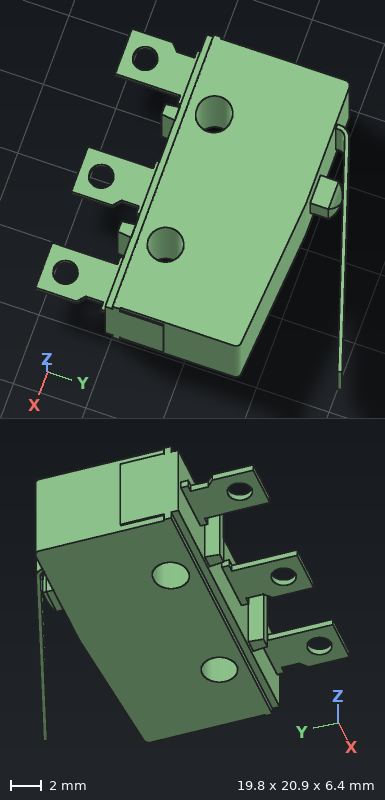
import cadquery as cq
import math


overall_length = 20.9

housing_height = 10.01
housing_thickness = 6.4
base_length = 19.8
base_height = 4.0
base_thickness = 5.4
side_step = 0.1
cover_length = base_length - 2 * side_step
flange_start = 0.5
flange_end = 1.0
slope_start_x = -0.95
slope_end_height = 9.2
corner_radius = 0.38

mount_hole_diameter = 2.36
mount_slot_length = 2.5
mount_hole_x = 4.75
mount_hole_y = 2.35

terminal_thickness = 0.5
terminal_length = 5.0
terminal_width = 3.28
collar_width = 3.85
collar_length = 0.5
neck_inset = 0.52
neck_end = 1.7
shoulder_end = 2.15
terminal_hole_diameter = 1.6
terminal_hole_y = -3.5
terminal_places = [(-9.43, -1), (2.42, 1), (9.4, 1)]

rib_x = 4.26
rib_root_width = 0.96
rib_tip_width = 0.75
rib_height = 1.0
rib_depth = 4.55

plunger_x = -2.78
plunger_width = 2.03
plunger_shoulder_y = 11.27
plunger_top_y = 11.8

lever_sheet = 0.3
lever_angle = math.radians(17.8)
lever_bend_radius = 0.88
lever_bend_x = -6.2
lever_tip_y = overall_length - terminal_length
lever_arm_length = 15.95
lever_root_width = 4.3
lever_tip_width = 3.6


def centred_box(length, y_start, y_end, thickness):
    """Box centred on X = 0 and Z = 0 between two Y positions."""
    middle_y = (y_start + y_end) / 2
    return cq.Workplane("XY").box(length, y_end - y_start, thickness).translate((0, middle_y, 0))


def extrude_centred(sketch, thickness):
    """Extrude an XY outline equally to both sides of Z = 0."""
    return sketch.extrude(thickness / 2, both=True)


def make_cover():
    """Full-thickness upper part with a sloping top and two rounded corners."""
    half = cover_length / 2
    outline = (
        cq.Workplane("XY")
        .moveTo(-half, flange_start)
        .lineTo(half, flange_start)
        .lineTo(half, slope_end_height)
        .lineTo(slope_start_x, housing_height)
        .lineTo(-half, housing_height)
        .close()
    )
    cover = extrude_centred(outline, housing_thickness)
    for top_corner in ((-half, housing_height, 0), (half, slope_end_height, 0)):
        corner_edge = cq.selectors.NearestToPointSelector(top_corner)
        cover = cover.edges("|Z").edges(corner_edge).fillet(corner_radius)
    return cover


def make_terminal(notched_edge, facing):
    """Flat solder tab with a collar at the root, a notched neck and a round eye."""
    inner_edge = notched_edge - facing * terminal_width
    collar_edge = notched_edge - facing * collar_width
    neck_edge = notched_edge - facing * neck_inset
    outline = cq.Workplane("XY").polyline([
        (notched_edge, 0),
        (notched_edge, -collar_length),
        (neck_edge, -collar_length),
        (neck_edge, -neck_end),
        (notched_edge, -shoulder_end),
        (notched_edge, -terminal_length),
        (inner_edge, -terminal_length),
        (inner_edge, -collar_length),
        (collar_edge, -collar_length),
        (collar_edge, 0),
    ]).close()
    eye_x = (notched_edge + inner_edge) / 2
    eye = cq.Workplane("XY").center(eye_x, terminal_hole_y).circle(terminal_hole_diameter / 2)
    return extrude_centred(outline, terminal_thickness).cut(extrude_centred(eye, housing_thickness))


def make_rib(x):
    """Barrier rib that narrows towards its tip."""
    outline = cq.Workplane("XY").polyline([
        (x - rib_root_width / 2, 0),
        (x + rib_root_width / 2, 0),
        (x + rib_tip_width / 2, -rib_height),
        (x - rib_tip_width / 2, -rib_height),
    ]).close()
    return extrude_centred(outline, rib_depth)


def make_housing():
    """Cover, base, flange, ribs and terminals as one solid, with two mounting holes."""
    housing = make_cover()
    housing = housing.union(centred_box(base_length, 0, base_height, base_thickness))
    housing = housing.union(centred_box(base_length, flange_start, flange_end, housing_thickness))
    for x in (-rib_x, rib_x):
        housing = housing.union(make_rib(x))
    for notched_edge, facing in terminal_places:
        housing = housing.union(make_terminal(notched_edge, facing))
    slot = (
        cq.Workplane("XY")
        .center(-mount_hole_x, mount_hole_y)
        .slot2D(mount_slot_length, mount_hole_diameter)
    )
    hole = cq.Workplane("XY").center(mount_hole_x, mount_hole_y).circle(mount_hole_diameter / 2)
    for opening in (slot, hole):
        housing = housing.cut(extrude_centred(opening, housing_thickness))
    return housing


def make_arched_post():
    """Square post whose top is arched along X only."""
    half = plunger_width / 2
    outline = (
        cq.Workplane("XY")
        .moveTo(-half, housing_height)
        .lineTo(half, housing_height)
        .lineTo(half, plunger_shoulder_y)
        .threePointArc((0, plunger_top_y), (-half, plunger_shoulder_y))
        .close()
    )
    return extrude_centred(outline, plunger_width)


def make_plunger():
    """Square post whose top is arched along both X and Z."""
    arched_along_x = make_arched_post()
    arched_along_z = arched_along_x.rotate((0, 0, 0), (0, 1, 0), 90)
    return arched_along_x.intersect(arched_along_z).translate((plunger_x, 0, 0))


def make_lever():
    """Bent sheet lever standing on the housing, tapering in width towards its tip."""
    along = cq.Vector(math.cos(lever_angle), math.sin(lever_angle))
    normal = cq.Vector(-math.sin(lever_angle), math.cos(lever_angle))
    inner_radius = lever_bend_radius - lever_sheet
    bend_y = lever_tip_y - (along * lever_arm_length + normal * lever_bend_radius).y
    bend_centre = cq.Vector(lever_bend_x, bend_y)
    mid_bend_angle = (math.pi + math.pi / 2 + lever_angle) / 2
    mid_bend = cq.Vector(math.cos(mid_bend_angle), math.sin(mid_bend_angle))
    tip = bend_centre + along * lever_arm_length
    bend_start = cq.Vector(-1, 0)

    def corner(point):
        return (point.x, point.y)

    outline = (
        cq.Workplane("XY")
        .moveTo(lever_bend_x - lever_bend_radius, housing_height)
        .lineTo(*corner(bend_centre + bend_start * lever_bend_radius))
        .threePointArc(
            corner(bend_centre + mid_bend * lever_bend_radius),
            corner(bend_centre + normal * lever_bend_radius),
        )
        .lineTo(*corner(tip + normal * lever_bend_radius))
        .lineTo(*corner(tip + normal * inner_radius))
        .lineTo(*corner(bend_centre + normal * inner_radius))
        .threePointArc(
            corner(bend_centre + mid_bend * inner_radius),
            corner(bend_centre + bend_start * inner_radius),
        )
        .lineTo(lever_bend_x - inner_radius, housing_height)
        .close()
    )
    sheet = extrude_centred(outline, lever_root_width)

    arm_plane = cq.Plane(origin=bend_centre.toTuple(), xDir=along.toTuple(), normal=normal.toTuple())
    blank_reach = 2 * lever_bend_radius
    blank = (
        cq.Workplane(arm_plane)
        .polyline([
            (-blank_reach, -lever_root_width / 2),
            (0, -lever_root_width / 2),
            (lever_arm_length, -lever_tip_width / 2),
            (lever_arm_length, lever_tip_width / 2),
            (0, lever_root_width / 2),
            (-blank_reach, lever_root_width / 2),
        ])
        .close()
        .extrude(blank_reach, both=True)
    )
    return sheet.intersect(blank)


housing = make_housing()
plunger = make_plunger()
lever = make_lever()

result = cq.Compound.makeCompound([housing.solids().val(), plunger.solids().val(), lever.solids().val()])